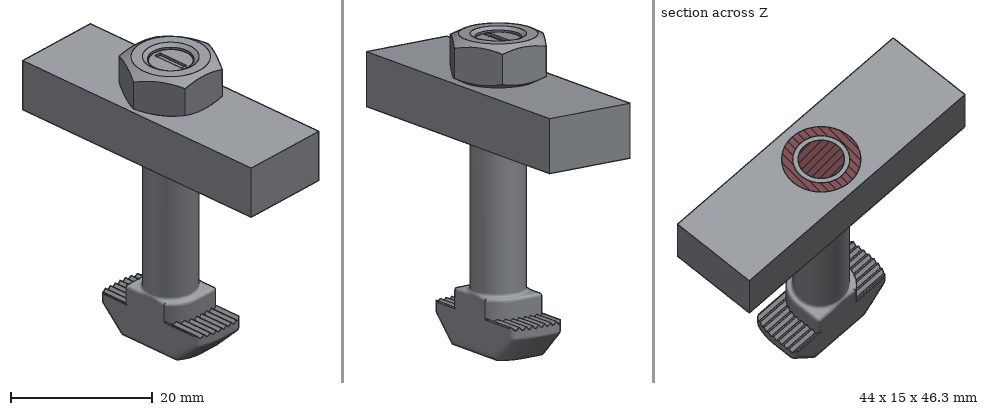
import cadquery as cq
import math

total_height = 46.25

plate_length = 44.0
plate_width = 14.0
plate_thickness = 8.05

nut_height = 6.45
nut_across_flats = 13.0
nut_turn = -1.3
nut_flat_face_radius = 5.6
nut_chamfer_angle = 28.0
nut_mouth_angle = 30.0

shank_diameter = 8.0
thread_diameter = 6.55
tip_recess = 0.65
tip_chamfer = 0.15
tip_slot_length = 5.1
tip_slot_width = 1.0
tip_slot_depth = 0.35

head_length = 19.5
head_width = 8.45
head_height = 5.85
head_end_height = 4.0
head_end_fillet = 0.55
head_side_fillet = 0.95
neck_length = 10.0
neck_height = 8.75
neck_top_fillet = 0.5
neck_corner_fillet = 0.5
shank_root_fillet = 0.45
tooth_pitch = 1.0
tooth_depth = tooth_pitch / 2

edge_margin = 0.005

shank_radius = shank_diameter / 2
thread_radius = thread_diameter / 2
head_half_length = head_length / 2
head_half_width = head_width / 2
neck_half_length = neck_length / 2
plate_top = total_height - nut_height
plate_bottom = plate_top - plate_thickness
tip_height = total_height - tip_recess


def make_plate():
    return (
        cq.Workplane("XY", origin=(0, 0, plate_bottom))
        .rect(plate_length, plate_width)
        .circle(shank_radius)
        .extrude(plate_thickness)
    )


def make_nut():
    corner_radius = nut_across_flats / 2 / math.cos(math.radians(30))
    chamfer_drop = (corner_radius - nut_flat_face_radius) * math.tan(math.radians(nut_chamfer_angle))
    mouth_drop = (shank_radius - thread_radius) * math.tan(math.radians(nut_mouth_angle))

    prism = (
        cq.Workplane("XY", origin=(0, 0, plate_top))
        .polygon(6, 2 * corner_radius)
        .extrude(nut_height)
        .rotate((0, 0, 0), (0, 0, 1), 30 + nut_turn)
    )
    turned = (
        cq.Workplane("XZ")
        .moveTo(thread_radius, plate_top + mouth_drop)
        .lineTo(shank_radius, plate_top)
        .lineTo(nut_flat_face_radius, plate_top)
        .lineTo(corner_radius, plate_top + chamfer_drop)
        .lineTo(corner_radius, total_height - chamfer_drop)
        .lineTo(nut_flat_face_radius, total_height)
        .lineTo(shank_radius, total_height)
        .lineTo(thread_radius, total_height - mouth_drop)
        .close()
        .revolve(360, (0, 0), (0, 1))
    )
    return prism.intersect(turned)


def half_turn_shape(half_outline):
    """Body between the flat sides: square in the -X-Y and +X+Y quadrants, round in the other two."""
    section = cq.Workplane("XZ").polyline(half_outline).close().wires().val()
    slab = cq.Workplane("XY").box(head_length, head_width, 2 * neck_height)
    round_part = cq.Workplane("XZ").add(section).toPending().revolve(360, (0, 0), (0, 1)).intersect(slab)
    square_part = cq.Workplane("XZ").add(section).toPending().extrude(-head_half_width)
    opposite_part = square_part.rotate((0, 0, 0), (0, 0, 1), 180)
    return round_part.union(square_part).union(opposite_part)


def make_head():
    """Hammer head with 45 degree flanks under its two ends."""
    foot_half_length = head_half_length - head_end_height
    head = half_turn_shape(
        [
            (0, 0),
            (foot_half_length, 0),
            (head_half_length, head_end_height),
            (head_half_length, head_height),
            (0, head_height),
        ]
    )
    head = head.faces("<Y or >Y").edges("not >Z").fillet(head_side_fillet)
    end_edges = cq.selectors.BoxSelector(
        (-head_half_length - edge_margin, -head_half_width, head_end_height - edge_margin),
        (head_half_length + edge_margin, head_half_width, head_end_height + edge_margin),
    )
    return cut_teeth(head.edges(end_edges).fillet(head_end_fillet))


def cut_teeth(head):
    """V grooves along X over the top of the head, with a tooth crest on the bolt axis."""
    groove_count = 2 * math.ceil(head_half_width / tooth_pitch)
    for i in range(groove_count):
        valley = (i + 0.5 - groove_count / 2) * tooth_pitch
        groove = (
            cq.Workplane("YZ", origin=(-head_half_length, 0, 0))
            .moveTo(valley - tooth_pitch / 2, head_height)
            .lineTo(valley, head_height - tooth_depth)
            .lineTo(valley + tooth_pitch / 2, head_height)
            .close()
            .extrude(head_length)
        )
        head = head.cut(groove)
    return head


def make_root_flare():
    """Concave flare from the neck top up to the shank, cut off at the flat sides of the head."""
    flare_radius = shank_radius + shank_root_fillet
    flare_top = neck_height + shank_root_fillet
    arc_offset = shank_root_fillet * (1 - math.sqrt(0.5))
    slab = cq.Workplane("XY").box(2 * flare_radius, head_width, 2 * flare_top)
    return (
        cq.Workplane("XZ")
        .moveTo(0, head_end_height)
        .lineTo(flare_radius, head_end_height)
        .lineTo(flare_radius, neck_height)
        .threePointArc((shank_radius + arc_offset, neck_height + arc_offset), (shank_radius, flare_top))
        .lineTo(0, flare_top)
        .close()
        .revolve(360, (0, 0), (0, 1))
        .intersect(slab)
    )


def is_neck_rim(edge):
    """True for edges around the outside of the neck top."""
    middle = edge.positionAt(0.5)
    at_top = middle.z > neck_height - edge_margin
    on_flat_side = abs(middle.y) > head_half_width - edge_margin
    on_end = math.hypot(middle.x, middle.y) > neck_half_length - edge_margin
    return at_top and (on_flat_side or on_end)


def make_neck():
    """Neck that sinks into the head, with rounded square corners, a shank flare and a rounded rim."""
    neck = half_turn_shape(
        [
            (0, head_end_height),
            (neck_half_length, head_end_height),
            (neck_half_length, neck_height),
            (0, neck_height),
        ]
    )
    for side in (-1, 1):
        corner = (side * neck_half_length, side * head_half_width, neck_height / 2)
        neck = neck.edges("|Z").edges(cq.selectors.NearestToPointSelector(corner)).fillet(neck_corner_fillet)
    return neck.union(make_root_flare()).edges().filter(is_neck_rim).fillet(neck_top_fillet)


def make_shank():
    """Thick shank up to the plate top, then the thread with a slotted, chamfered tip."""
    thread = (
        cq.Workplane("XY", origin=(0, 0, plate_top))
        .circle(thread_radius)
        .extrude(tip_height - plate_top)
        .faces(">Z")
        .chamfer(tip_chamfer)
    )
    slot = (
        cq.Workplane("XY", origin=(0, 0, tip_height - tip_slot_depth))
        .rect(tip_slot_length, tip_slot_width)
        .extrude(tip_slot_depth)
    )
    shank = (
        cq.Workplane("XY", origin=(0, 0, head_end_height))
        .circle(shank_radius)
        .extrude(plate_top - head_end_height)
    )
    return shank.union(thread.cut(slot))


def make_bolt():
    return make_head().union(make_neck()).union(make_shank())


plate = make_plate()
nut = make_nut()
bolt = make_bolt()
result = cq.Compound.makeCompound([plate.val(), nut.val(), *bolt.solids().vals()])